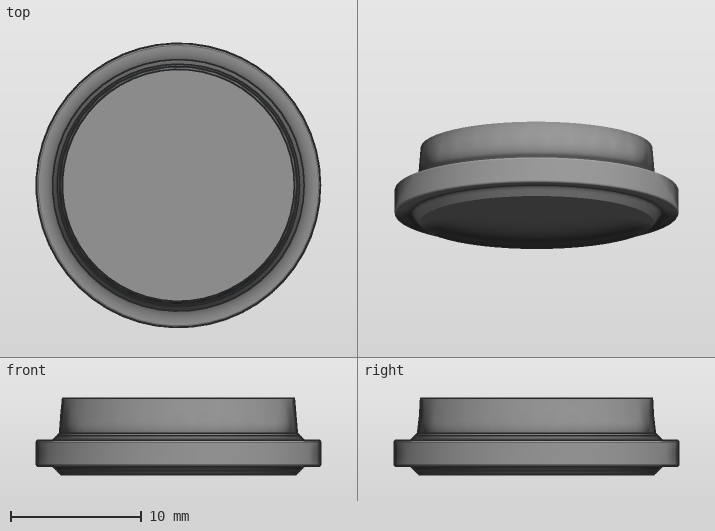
import cadquery as cq

total_height = 5.85
seat_radius = 18.5 / 2
taper_base_radius = 9.08
top_radius = 8.85
taper_base_height = 3.15

ring_radius = 21.7 / 2
flange_bottom = 0.65
flange_top = 2.62
flange_edge_fillet = 0.15
lip_height = 0.35
lip_base_radius = seat_radius + lip_height

seat_bottom = flange_bottom - lip_height
seat_top = flange_top + lip_height
bottom_radius = seat_radius - seat_bottom


def make_plug():
    """Revolved core: bottom chamfer, cylindrical seat, shoulder chamfer and taper."""
    profile = (
        cq.Workplane("XZ")
        .moveTo(0, 0)
        .lineTo(bottom_radius, 0)
        .lineTo(seat_radius, seat_bottom)
        .lineTo(seat_radius, seat_top)
        .lineTo(taper_base_radius, taper_base_height)
        .lineTo(top_radius, total_height)
        .lineTo(0, total_height)
        .close()
    )
    return profile.revolve(360, (0, 0, 0), (0, 1, 0))


def make_ring():
    """Revolved flange whose bore fits the plug's seat, with rounded outer edges."""
    profile = (
        cq.Workplane("XZ")
        .moveTo(seat_radius, seat_bottom)
        .lineTo(lip_base_radius, flange_bottom)
        .lineTo(ring_radius, flange_bottom)
        .lineTo(ring_radius, flange_top)
        .lineTo(lip_base_radius, flange_top)
        .lineTo(seat_radius, seat_top)
        .close()
    )
    ring = profile.revolve(360, (0, 0, 0), (0, 1, 0))
    outer_edges = cq.selectors.RadiusNthSelector(-1)
    return ring.edges(outer_edges).fillet(flange_edge_fillet)


plug = make_plug()
ring = make_ring()

result = cq.Compound.makeCompound([plug.val(), ring.val()])